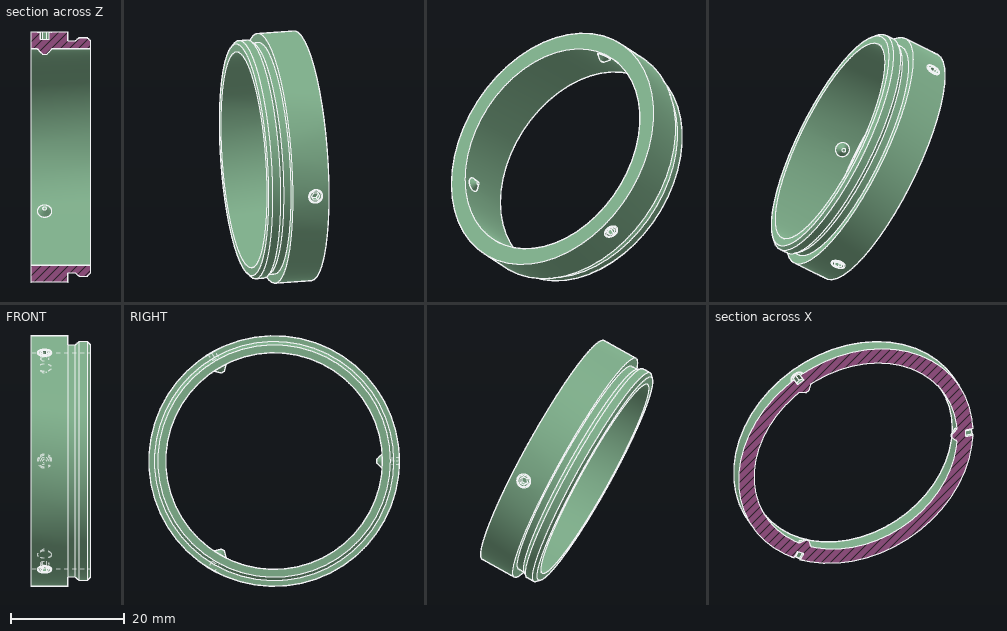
import cadquery as cq

bore_diameter = 38.0
body_diameter = 44.0
groove_diameter = 40.8
flange_diameter = 42.0
body_length = 6.5
groove_length = 1.28
total_length = 10.5
flange_chamfer_depth = (flange_diameter - groove_diameter) / 2
groove_side_chamfer_length = 0.7
end_chamfer_length = flange_chamfer_depth

screw_count = 3
screw_angle_step = 360 / screw_count
screw_x = 2.4
screw_diameter = 2.5
screw_length = 4.0
screw_edge_width = 0.2
screw_edge_drop = 0.1
tip_diameter = 0.65
cone_height = (screw_diameter - tip_diameter) / 2
socket_across_corners = 1.5
socket_depth = 1.3

body_radius = body_diameter / 2
screw_radius = screw_diameter / 2
tip_position = body_radius - screw_length


def make_ring():
    """Revolve the half section: wide body, thread relief groove and chamfered flange."""
    bore_radius = bore_diameter / 2
    groove_radius = groove_diameter / 2
    flange_radius = flange_diameter / 2
    flange_start = body_length + groove_length
    return (
        cq.Workplane("XY")
        .moveTo(0, bore_radius)
        .lineTo(0, body_radius)
        .lineTo(body_length, body_radius)
        .lineTo(body_length, groove_radius)
        .lineTo(flange_start, groove_radius)
        .lineTo(flange_start + groove_side_chamfer_length, flange_radius)
        .lineTo(total_length - end_chamfer_length, flange_radius)
        .lineTo(total_length, groove_radius)
        .lineTo(total_length, bore_radius)
        .close()
        .revolve(360, (0, 0, 0), (1, 0, 0))
    )


def make_screw_hole():
    """Hole along +Y from inside the bore to beyond the outside of the body."""
    return (
        cq.Workplane("XZ", origin=(screw_x, tip_position, 0))
        .circle(screw_radius)
        .extrude(-2 * screw_length)
    )


def make_screw():
    """Set screw along +Y, with its cone point towards the ring axis and a hex socket outside."""
    blank = (
        cq.Workplane("XY")
        .moveTo(screw_x, tip_position)
        .lineTo(screw_x + tip_diameter / 2, tip_position)
        .lineTo(screw_x + screw_radius, tip_position + cone_height)
        .lineTo(screw_x + screw_radius, body_radius - screw_edge_drop)
        .lineTo(screw_x + screw_radius - screw_edge_width, body_radius)
        .lineTo(screw_x, body_radius)
        .close()
        .revolve(360, (screw_x, 0, 0), (screw_x, 1, 0))
    )
    socket = (
        cq.Workplane("XZ", origin=(screw_x, body_radius, 0))
        .polygon(6, socket_across_corners)
        .extrude(socket_depth)
    )
    return blank.cut(socket)


def turned(shape, angle):
    """Turn a shape about the ring axis."""
    return shape.rotate((0, 0, 0), (1, 0, 0), angle)


result = make_ring()
for index in range(screw_count):
    angle = index * screw_angle_step
    result = result.cut(turned(make_screw_hole(), angle))
    result = result.union(turned(make_screw(), angle))